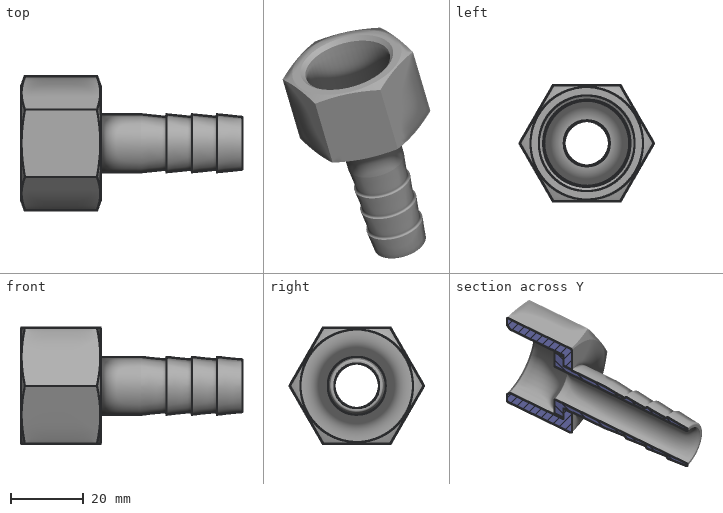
import cadquery as cq
import math

TOTAL_LENGTH = 61.0

NUT_LENGTH = 22.0
ACROSS_FLATS = 32.0
ACROSS_CORNERS = 2 * ACROSS_FLATS / math.sqrt(3)
NUT_FACE_RADIUS = 15.5
CORNER_CHAMFER_ANGLE = 20
CORNER_CLEARANCE = 0.6
THREAD_RADIUS = 12.0
THREAD_MOUTH_RADIUS = 13.2
THREAD_CHAMFER_DEPTH = 1.1
NUT_WALL = 3.0

TAIL_RADIUS = 8.0
TAIL_BORE_RADIUS = 6.1
BORE_CHAMFER = 0.25
COLLAR_RADIUS = 11.7
COLLAR_THICKNESS = 3.0
BARBS_START_X = 33.1
BARB_COUNT = 4
BARB_ROOT_RADIUS = 7.25
BARB_ROUNDING = 0.5

shoulder_x = NUT_LENGTH - NUT_WALL
collar_x = shoulder_x - COLLAR_THICKNESS
barb_pitch = (TOTAL_LENGTH - BARBS_START_X) / BARB_COUNT


def revolve_about_x(profile):
    """Turn a closed (x, radius) profile in the XY plane around the X axis."""
    return profile.close().revolve(360, (0, 0, 0), (1, 0, 0))


def cylinder_along_x(radius, start_x, end_x):
    return cq.Workplane("YZ", origin=(start_x, 0, 0)).circle(radius).extrude(end_x - start_x)


def chamfered_envelope():
    """Turned blank whose conical ends cut the corners of the hexagon."""
    corner_radius = ACROSS_CORNERS / 2
    cone_radius = corner_radius + CORNER_CLEARANCE
    cone_depth = (cone_radius - NUT_FACE_RADIUS) * math.tan(math.radians(CORNER_CHAMFER_ANGLE))
    return revolve_about_x(
        cq.Workplane("XY")
        .lineTo(0, NUT_FACE_RADIUS)
        .lineTo(cone_depth, cone_radius)
        .lineTo(NUT_LENGTH - cone_depth, cone_radius)
        .lineTo(NUT_LENGTH, NUT_FACE_RADIUS)
        .lineTo(NUT_LENGTH, 0)
    )


def nut_cavity():
    """Chamfered thread bore, stepping down to the hole around the shank."""
    return revolve_about_x(
        cq.Workplane("XY")
        .lineTo(0, THREAD_MOUTH_RADIUS)
        .lineTo(THREAD_CHAMFER_DEPTH, THREAD_RADIUS)
        .lineTo(shoulder_x, THREAD_RADIUS)
        .lineTo(shoulder_x, TAIL_RADIUS)
        .lineTo(NUT_LENGTH, TAIL_RADIUS)
        .lineTo(NUT_LENGTH, 0)
    )


def make_nut():
    hexagon = cq.Workplane("YZ").polygon(6, ACROSS_CORNERS).extrude(NUT_LENGTH)
    return hexagon.intersect(chamfered_envelope()).cut(nut_cavity())


def make_barb(start_x):
    """One barb: a sharp crest tapering towards the tip of the tail."""
    return revolve_about_x(
        cq.Workplane("XY")
        .moveTo(start_x, 0)
        .lineTo(start_x, TAIL_RADIUS)
        .lineTo(start_x + barb_pitch, BARB_ROOT_RADIUS)
        .lineTo(start_x + barb_pitch, 0)
    )


def round_barb_ends(tail):
    """Round the root circle at the end of every barb and the tip edge."""
    def is_barb_end(edge):
        return edge.geomType() == "CIRCLE" and abs(edge.radius() - BARB_ROOT_RADIUS) < 0.005

    edges = [edge for edge in tail.edges().vals() if is_barb_end(edge)]
    return tail.newObject(edges).fillet(BARB_ROUNDING)


def make_hose_tail():
    tail = cylinder_along_x(COLLAR_RADIUS, collar_x, shoulder_x)
    tail = tail.union(cylinder_along_x(TAIL_RADIUS, collar_x, BARBS_START_X))
    for index in range(BARB_COUNT):
        tail = tail.union(make_barb(BARBS_START_X + index * barb_pitch))
    tail = round_barb_ends(tail)
    tail = tail.cut(cylinder_along_x(TAIL_BORE_RADIUS, collar_x, TOTAL_LENGTH))
    bore_mouth = tail.faces("<X").edges(cq.selectors.RadiusNthSelector(0))
    return bore_mouth.chamfer(BORE_CHAMFER)


nut = make_nut()
hose_tail = make_hose_tail()

result = cq.Compound.makeCompound([nut.val(), hose_tail.val()])